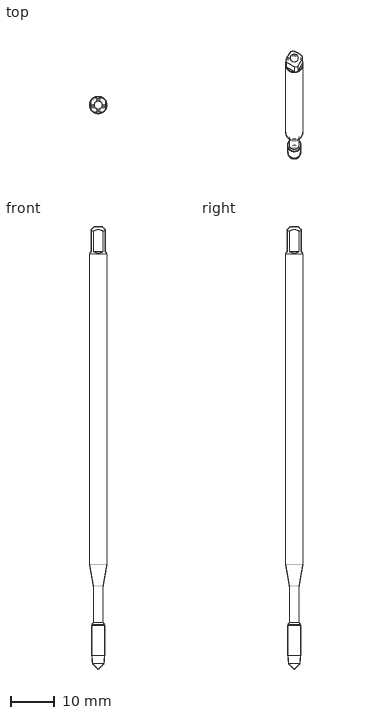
import cadquery as cq

total_length = 100.97

shank_diameter = 4.0
shank_top = 94.68
neck_diameter = 2.27
taper_top = 23.9
taper_bottom = 19.0

square_size = 3.2
square_corner_diameter = 3.84
flat_length = 5.7
square_top_diameter = 1.83
flat_count = 4

core_diameter = 2.95
core_top = 10.28
core_chamfer_height = 0.42
point_base_diameter = 2.68
point_height = 1.35

sleeve_diameter = 3.09
sleeve_bottom = 3.22
sleeve_top = 10.0

shank_radius = shank_diameter / 2
neck_radius = neck_diameter / 2
square_corner_radius = square_corner_diameter / 2
square_top_radius = square_top_diameter / 2
core_radius = core_diameter / 2
point_base_radius = point_base_diameter / 2
sleeve_radius = sleeve_diameter / 2
flat_distance = square_size / 2

shoulder_top = shank_top + (shank_radius - square_corner_radius)
square_chamfer_bottom = total_length - (square_corner_radius - square_top_radius)
flat_bottom = total_length - flat_length
neck_bottom = core_top + core_chamfer_height


def revolve_profile(points):
    """Solid of revolution about Z from (radius, height) points."""
    return cq.Workplane("XZ").polyline(points).close().revolve(360, (0, 0), (0, 1))


def make_flat_cutter():
    """Cutter for the flat on the +X side, which runs out at 45 degrees at its lower end."""
    runout = shank_radius - flat_distance
    return (
        cq.Workplane("XZ")
        .polyline([
            (flat_distance, total_length),
            (flat_distance, flat_bottom),
            (shank_radius, flat_bottom - runout),
            (shank_radius, total_length),
        ])
        .close()
        .extrude(shank_radius, both=True)
    )


def make_shank():
    """Pointed core, neck, taper and round shank, with four flats forming the drive square."""
    shank_body = revolve_profile([
        (0, 0),
        (point_base_radius, point_height),
        (core_radius, sleeve_bottom),
        (core_radius, core_top),
        (neck_radius, neck_bottom),
        (neck_radius, taper_bottom),
        (shank_radius, taper_top),
        (shank_radius, shank_top),
        (square_corner_radius, shoulder_top),
        (square_corner_radius, square_chamfer_bottom),
        (square_top_radius, total_length),
        (0, total_length),
    ])
    flat_cutter = make_flat_cutter()
    for flat in range(flat_count):
        angle = flat * 360 / flat_count
        shank_body = shank_body.cut(flat_cutter.rotate((0, 0, 0), (0, 0, 1), angle))
    return shank_body


def make_thread_sleeve():
    """Plain sleeve that stands for the thread, fitted around the core."""
    return revolve_profile([
        (core_radius, sleeve_bottom),
        (sleeve_radius, sleeve_bottom),
        (sleeve_radius, sleeve_top),
        (core_radius, sleeve_top),
    ])


shank = make_shank()
thread_sleeve = make_thread_sleeve()

result = cq.Compound.makeCompound([shank.val(), thread_sleeve.val()])